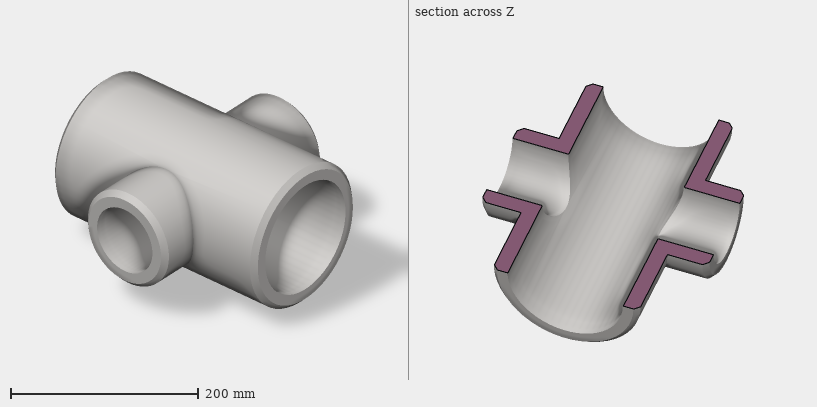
import cadquery as cq

run_length = 285.5
run_diameter = 168.2
run_bore = 132.0

branch_span = 260.0
branch_diameter = 114.2
branch_bore = 78.0

end_bevel = 6.0


def centered_cylinder(plane, diameter, length):
    """Cylinder centred on the origin, along the normal of the plane."""
    return cq.Workplane(plane).circle(diameter / 2).extrude(length / 2, both=True)


def beveled_cylinder(plane, diameter, length):
    """Centred cylinder with both end edges beveled."""
    return centered_cylinder(plane, diameter, length).edges("%CIRCLE").chamfer(end_bevel)


run = beveled_cylinder("YZ", run_diameter, run_length)
branches = beveled_cylinder("XZ", branch_diameter, branch_span)
body = run.union(branches)

body = body.cut(centered_cylinder("YZ", run_bore, run_length))
result = body.cut(centered_cylinder("XZ", branch_bore, branch_span))